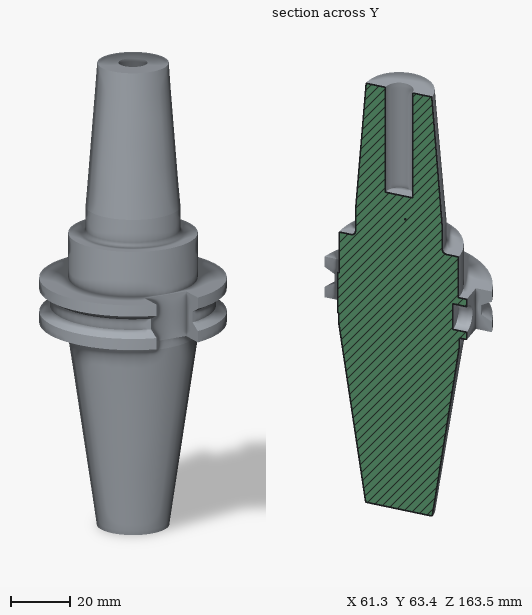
import cadquery as cq
import math


TOTAL_LENGTH = 163.5

SHANK_LENGTH = 68.4
GAUGE_RADIUS = 22.2
TAPER_RATIO = 7 / 24
BAND_HEIGHT = 3.3

FLANGE_RADIUS = 31.7
FLANGE_HEIGHT = 15.9
GROOVE_FLOOR_RADIUS = 28.1
GROOVE_FLOOR_HEIGHT = 3.8
GROOVE_WALL_ANGLE = 30.0

COLLAR_RADIUS = 21.9
COLLAR_HEIGHT = 15.9
NECK_RADIUS = 16.0
NECK_FILLET = 1.5
NOSE_CONE_HEIGHT = 50.7
NOSE_TIP_RADIUS = 12.1

SLOT_WIDTH = 16.0
DEEP_SLOT_FLOOR = 22.5
SHALLOW_SLOT_FLOOR = 24.9
HOLE_DIAMETER = 9.8
BORE_DEPTH = 40.9
SIDE_HOLE_DEPTH = 5.0

shank_end_z = -SHANK_LENGTH
shank_end_radius = GAUGE_RADIUS - SHANK_LENGTH * TAPER_RATIO / 2
flange_bottom_z = BAND_HEIGHT
flange_top_z = flange_bottom_z + FLANGE_HEIGHT
flange_middle_z = (flange_bottom_z + flange_top_z) / 2
collar_top_z = flange_top_z + COLLAR_HEIGHT
tip_z = TOTAL_LENGTH - SHANK_LENGTH
cone_start_z = tip_z - NOSE_CONE_HEIGHT


def turned_body():
    """Solid of revolution: shank, grooved flange, collar, neck and nose."""
    groove_depth = FLANGE_RADIUS - GROOVE_FLOOR_RADIUS
    half_floor = GROOVE_FLOOR_HEIGHT / 2
    half_mouth = half_floor + groove_depth * math.tan(math.radians(GROOVE_WALL_ANGLE))
    fillet_centre = (NECK_RADIUS + NECK_FILLET, collar_top_z + NECK_FILLET)
    fillet_offset = NECK_FILLET * math.sqrt(0.5)
    fillet_middle = (fillet_centre[0] - fillet_offset, fillet_centre[1] - fillet_offset)

    profile = (
        cq.Workplane("XZ")
        .moveTo(0, shank_end_z)
        .lineTo(shank_end_radius, shank_end_z)
        .lineTo(GAUGE_RADIUS, 0)
        .lineTo(GAUGE_RADIUS, flange_bottom_z)
        .lineTo(FLANGE_RADIUS, flange_bottom_z)
        .lineTo(FLANGE_RADIUS, flange_middle_z - half_mouth)
        .lineTo(GROOVE_FLOOR_RADIUS, flange_middle_z - half_floor)
        .lineTo(GROOVE_FLOOR_RADIUS, flange_middle_z + half_floor)
        .lineTo(FLANGE_RADIUS, flange_middle_z + half_mouth)
        .lineTo(FLANGE_RADIUS, flange_top_z)
        .lineTo(COLLAR_RADIUS, flange_top_z)
        .lineTo(COLLAR_RADIUS, collar_top_z)
        .lineTo(fillet_centre[0], collar_top_z)
        .threePointArc(fillet_middle, (NECK_RADIUS, fillet_centre[1]))
        .lineTo(NECK_RADIUS, cone_start_z)
        .lineTo(NOSE_TIP_RADIUS, tip_z)
        .lineTo(0, tip_z)
        .close()
    )
    return profile.revolve(360, (0, 0, 0), (0, 1, 0))


def drive_slot(floor_distance, side):
    """Cutter for a slot through the flange; side is +1 for +X and -1 for -X."""
    middle_x = side * (floor_distance + FLANGE_RADIUS) / 2
    length = FLANGE_RADIUS - floor_distance
    return (
        cq.Workplane("XY", origin=(middle_x, 0, flange_bottom_z))
        .rect(length, SLOT_WIDTH)
        .extrude(FLANGE_HEIGHT)
    )


def tool_bore():
    """Cutter for the blind tool bore in the nose."""
    return cq.Workplane("XY", origin=(0, 0, tip_z)).circle(HOLE_DIAMETER / 2).extrude(-BORE_DEPTH)


def side_hole():
    """Cutter for the blind radial hole in the floor of the -X slot."""
    return (
        cq.Workplane("YZ", origin=(-SHALLOW_SLOT_FLOOR, 0, flange_middle_z))
        .circle(HOLE_DIAMETER / 2)
        .extrude(SIDE_HOLE_DEPTH)
    )


result = (
    turned_body()
    .cut(drive_slot(DEEP_SLOT_FLOOR, 1))
    .cut(drive_slot(SHALLOW_SLOT_FLOOR, -1))
    .cut(tool_bore())
    .cut(side_hole())
)